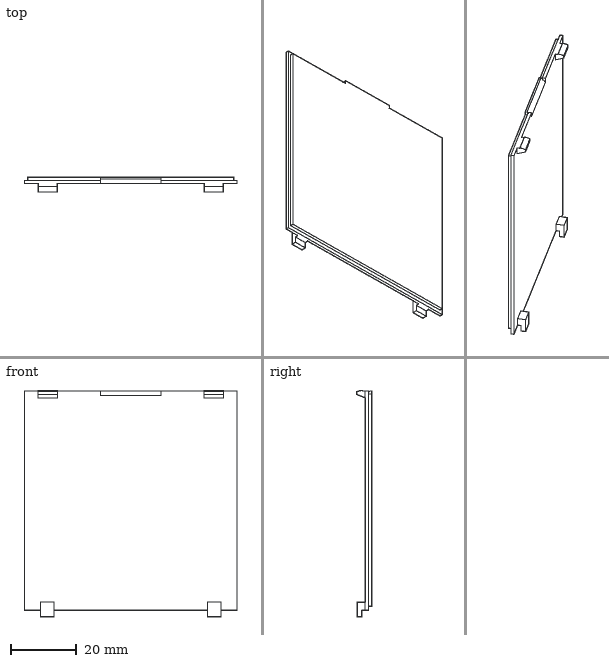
import cadquery as cq
import math

PLATE_WIDTH = 65.0
PLATE_HEIGHT = 67.0
PLATE_THICKNESS = 1.0

PANEL_THICKNESS = 1.0
PANEL_SIDE_INSET = 1.0
PANEL_TOP_INSET = 1.0
PANEL_BOTTOM_INSET = 1.25

NOTCH_WIDTH = 18.6
NOTCH_HEIGHT = 1.4
NOTCH_DEPTH = 1.4

HOOK_WIDTH = 5.9
HOOK_CENTER_INSET = 7.15
HOOK_REACH = 2.6
HOOK_ROOT_HEIGHT = 2.15
HOOK_FLAT_REACH = 0.83
HOOK_STEP_RISE = 0.16
HOOK_TIP_TOP_DROP = 0.25
HOOK_TIP_BOTTOM_DROP = 1.1

CLIP_WIDTH = 4.2
CLIP_CENTER_INSET = 7.0
CLIP_REACH = 2.5
CLIP_LIP_THICKNESS = 1.5
CLIP_RISE = 2.5
CLIP_DROP = 2.0


def extrude_profile(points, width, center_x):
    """Extrude a closed (Y, Z) outline along X, centred on center_x."""
    profile = cq.Workplane("YZ", origin=(center_x, 0, 0)).polyline(points).close()
    return profile.extrude(width / 2, both=True)


def make_plate():
    return cq.Workplane("XY").box(
        PLATE_WIDTH, PLATE_THICKNESS, PLATE_HEIGHT, centered=(True, False, False)
    )


def make_panel():
    width = PLATE_WIDTH - 2 * PANEL_SIDE_INSET
    height = PLATE_HEIGHT - PANEL_TOP_INSET - PANEL_BOTTOM_INSET
    panel = cq.Workplane("XY").box(width, PANEL_THICKNESS, height, centered=(True, False, False))
    return panel.translate((0, PLATE_THICKNESS, PANEL_BOTTOM_INSET))


def make_tab():
    """Piece that carries the panel up to the plate's top edge behind the notch."""
    tab = cq.Workplane("XY").box(
        NOTCH_WIDTH, PANEL_THICKNESS, PANEL_TOP_INSET, centered=(True, False, False)
    )
    return tab.translate((0, PLATE_THICKNESS, PLATE_HEIGHT - PANEL_TOP_INSET))


def make_notch():
    """Sloping cut along the top front edge."""
    points = [
        (0, PLATE_HEIGHT - NOTCH_HEIGHT),
        (NOTCH_DEPTH, PLATE_HEIGHT),
        (0, PLATE_HEIGHT),
    ]
    return extrude_profile(points, NOTCH_WIDTH, 0)


def make_hook(center_x):
    """Hook with a flat top, a small step up to a rounded nose, a blunt tip and a sloping underside."""
    nose_length = HOOK_REACH - HOOK_FLAT_REACH
    nose_fall = HOOK_STEP_RISE + HOOK_TIP_TOP_DROP
    nose_radius = (nose_length**2 + nose_fall**2) / (2 * nose_fall)
    half_angle = math.asin(nose_length / nose_radius) / 2
    nose_middle = (
        -HOOK_FLAT_REACH - nose_radius * math.sin(half_angle),
        HOOK_STEP_RISE - nose_radius * (1 - math.cos(half_angle)),
    )
    profile = (
        cq.Workplane("YZ", origin=(center_x, 0, PLATE_HEIGHT))
        .lineTo(-HOOK_FLAT_REACH, 0)
        .lineTo(-HOOK_FLAT_REACH, HOOK_STEP_RISE)
        .threePointArc(nose_middle, (-HOOK_REACH, -HOOK_TIP_TOP_DROP))
        .lineTo(-HOOK_REACH, -HOOK_TIP_BOTTOM_DROP)
        .lineTo(0, -HOOK_ROOT_HEIGHT)
        .close()
    )
    return profile.extrude(HOOK_WIDTH / 2, both=True)


def make_clip(center_x):
    """Clip that stands off the plate and drops a lip below its bottom edge."""
    lip_back = CLIP_LIP_THICKNESS - CLIP_REACH
    points = [
        (0, 0),
        (0, CLIP_RISE),
        (-CLIP_REACH, CLIP_RISE),
        (-CLIP_REACH, -CLIP_DROP),
        (lip_back, -CLIP_DROP),
        (lip_back, 0),
    ]
    return extrude_profile(points, CLIP_WIDTH, center_x)


result = make_plate().union(make_panel()).union(make_tab()).cut(make_notch())
for side in (-1, 1):
    result = result.union(make_hook(side * (PLATE_WIDTH / 2 - HOOK_CENTER_INSET)))
    result = result.union(make_clip(side * (PLATE_WIDTH / 2 - CLIP_CENTER_INSET)))